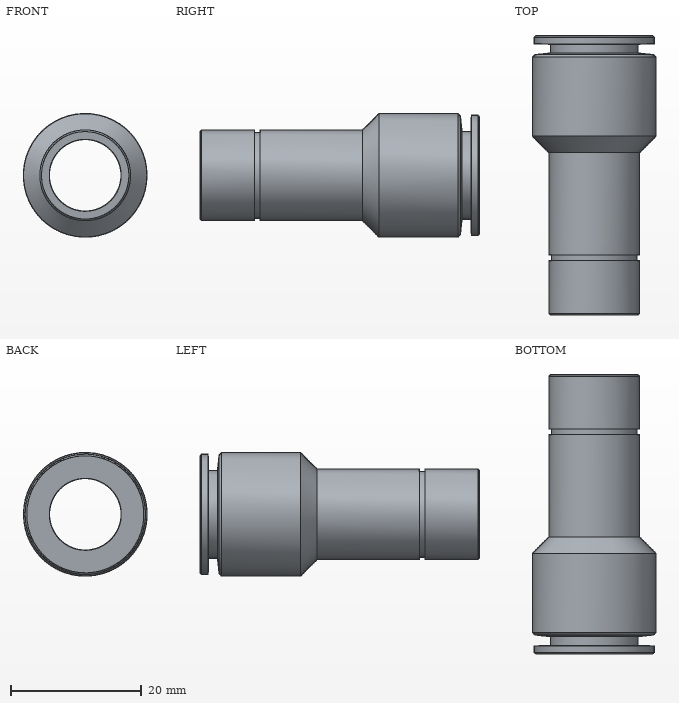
import cadquery as cq

total_length = 42.9
bore_diameter = 11.0

stub_diameter = 13.95
stub_chamfer = 0.25
groove_diameter = 13.2
groove_start = 8.35
groove_width = 0.85

body_diameter = 19.0
shoulder_start = 24.92
body_end = 40.25
rim_slope_height = 0.25
body_chamfer = 0.4

neck_diameter = 13.5
flange_diameter = 18.5
flange_rim_thickness = 1.25
flange_slope_height = 0.1
flange_chamfer = 0.25

stub_radius = stub_diameter / 2
groove_radius = groove_diameter / 2
body_radius = body_diameter / 2
neck_radius = neck_diameter / 2
flange_radius = flange_diameter / 2
bore_radius = bore_diameter / 2
groove_end = groove_start + groove_width
shoulder_end = shoulder_start + body_radius - stub_radius
flange_start = total_length - flange_rim_thickness
body_chamfer_end = body_end - rim_slope_height

half_section = [
    (bore_radius, 0),
    (stub_radius - stub_chamfer, 0),
    (stub_radius, stub_chamfer),
    (stub_radius, groove_start),
    (groove_radius, groove_start),
    (groove_radius, groove_end),
    (stub_radius, groove_end),
    (stub_radius, shoulder_start),
    (body_radius, shoulder_end),
    (body_radius, body_chamfer_end - body_chamfer),
    (body_radius - body_chamfer, body_chamfer_end),
    (neck_radius, body_end),
    (neck_radius, flange_start - flange_slope_height),
    (flange_radius, flange_start),
    (flange_radius, total_length - flange_chamfer),
    (flange_radius - flange_chamfer, total_length),
    (bore_radius, total_length),
]

result = cq.Workplane("XY").polyline(half_section).close().revolve(360, (0, 0, 0), (0, 1, 0))